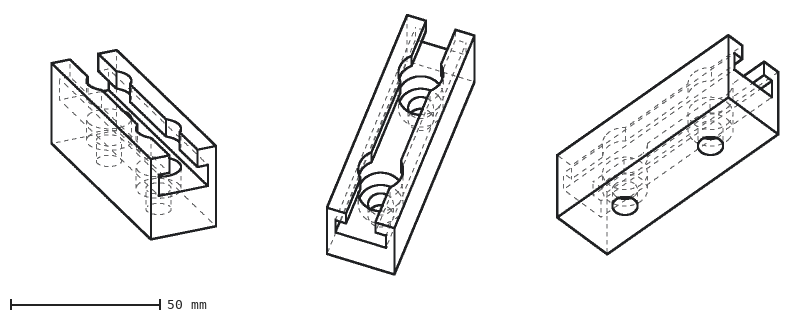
import cadquery as cq

length = 80.0
width = 24.0
height = 30.0

mouth_width = 10.4
cavity_width = 18.0
lip_thickness = 6.5
slot_depth = 14.3
floor_height = height - slot_depth
cavity_height = slot_depth - lip_thickness

hole_spacing = length / 2
hole_diameter = 8.5
counterbore_diameter = 15.0
counterbore_depth = 8.0


def slot_box(box_width, box_height, bottom):
    """Full-length box centred across the block, starting at the given height."""
    box = cq.Workplane("XY").box(length, box_width, box_height, centered=(True, True, False))
    return box.translate((0, 0, bottom))


def screw_hole(x):
    """Through hole with a counterbore that also clears the slot lips."""
    counterbore_floor = floor_height - counterbore_depth
    shank = cq.Workplane("XY").center(x, 0).circle(hole_diameter / 2).extrude(height)
    head = (
        cq.Workplane("XY", origin=(x, 0, counterbore_floor))
        .circle(counterbore_diameter / 2)
        .extrude(height - counterbore_floor)
    )
    return shank.union(head)


result = slot_box(width, height, 0)
result = result.cut(slot_box(cavity_width, cavity_height, floor_height))
result = result.cut(slot_box(mouth_width, slot_depth, floor_height))
for x in (-hole_spacing / 2, hole_spacing / 2):
    result = result.cut(screw_hole(x))